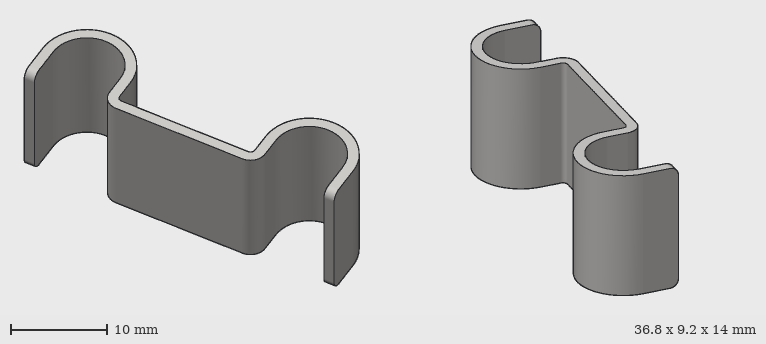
import cadquery as cq

length = 36.8
height = 14.0
depth = 9.2
thickness = 1.2
hook_radius = 5.2
bend_inner_radius = 0.5
corner_radius = 1.0

half_length = length / 2
hook_center_x = half_length - hook_radius
hook_center_y = depth - hook_radius
hook_inner_radius = hook_radius - thickness
bend_outer_radius = bend_inner_radius + thickness
inner_leg_outside = hook_center_x - hook_radius
inner_leg_inside = inner_leg_outside + thickness
bend_center_x = inner_leg_outside - bend_inner_radius
bend_center_y = bend_outer_radius
quarter_turn = 0.5 ** 0.5


def half_strip():
    """Bent strip from the middle of the web to the free end of one hook."""
    return (
        cq.Workplane("XY")
        .moveTo(0, 0)
        .lineTo(bend_center_x, 0)
        .threePointArc(
            (bend_center_x + bend_outer_radius * quarter_turn,
             bend_center_y - bend_outer_radius * quarter_turn),
            (inner_leg_inside, bend_center_y),
        )
        .lineTo(inner_leg_inside, hook_center_y)
        .threePointArc(
            (hook_center_x, hook_center_y + hook_inner_radius),
            (half_length - thickness, hook_center_y),
        )
        .lineTo(half_length - thickness, 0)
        .lineTo(half_length, 0)
        .lineTo(half_length, hook_center_y)
        .threePointArc((hook_center_x, depth), (inner_leg_outside, hook_center_y))
        .lineTo(inner_leg_outside, bend_center_y)
        .threePointArc(
            (bend_center_x + bend_inner_radius * quarter_turn,
             bend_center_y - bend_inner_radius * quarter_turn),
            (bend_center_x, thickness),
        )
        .lineTo(0, thickness)
        .close()
        .extrude(height)
    )


def round_free_end(strip):
    """Round the top and bottom corners of the hook's outer leg."""
    end_edges = cq.selectors.BoxSelector(
        (half_length - 2 * thickness, -thickness, -thickness),
        (half_length + thickness, thickness, height + thickness),
    )
    return strip.edges(end_edges).edges("|X").fillet(corner_radius)


half_clip = round_free_end(half_strip())
result = half_clip.union(half_clip.mirror("YZ")).clean()